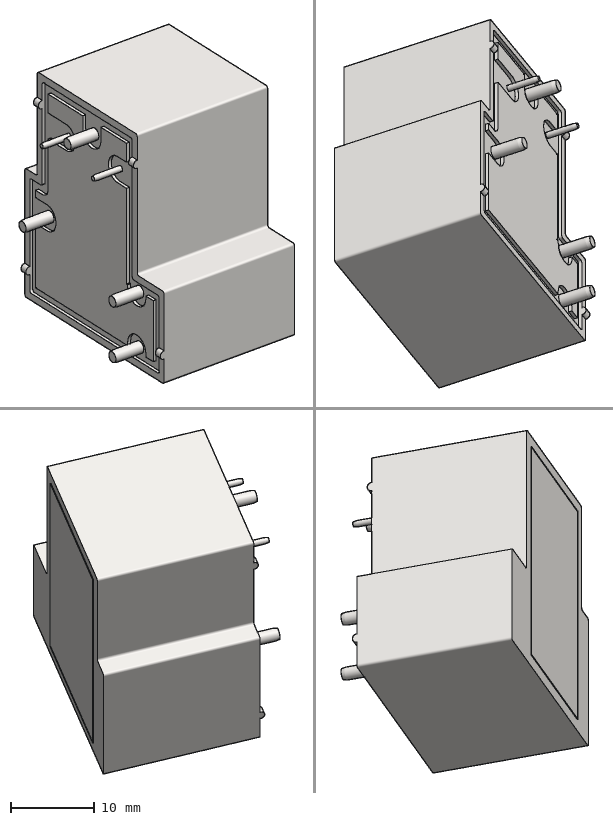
import cadquery as cq


total_width = 27.6
total_height = 32.0
cover_depth = 19.8
upper_left = 2.45
upper_width = 19.8
left_shoulder_height = 17.7
right_shoulder_height = 12.67
wall = 1.0
corner_radius = 0.32

label_margin = 1.57
label_thickness = 0.1

rib_radius = 0.58
upper_rib_height = 27.9
lower_rib_height = 4.0

base_recess = 0.45
pad_inset = 1.15
clearance_radius = 1.8

pin_grid_span = 25.4
pin_grid_steps = 10
top_pin_x = 13.28
top_pin_z = 28.0
power_pin_diameter = 1.6
coil_pin_diameter = 0.8
pin_reach = 3.7
tip_length = 0.5
tip_step = 0.1
pin_seat_depth = wall

upper_right = upper_left + upper_width
base_back = cover_depth - wall
pin_grid = pin_grid_span / pin_grid_steps
open_length = total_height

PINS = [
    ((0, 0), power_pin_diameter, "up"),
    ((-2, -1), coil_pin_diameter, "left"),
    ((2, -1), coil_pin_diameter, "right"),
    ((-3.5, -6), power_pin_diameter, "left"),
    ((3.5, -7), power_pin_diameter, "up"),
    ((3.5, -10), power_pin_diameter, "down"),
]
OPEN_DIRECTIONS = {"up": (0, 1), "down": (0, -1), "left": (-1, 0), "right": (1, 0)}


def pin_position(grid_place):
    column, row = grid_place
    return top_pin_x + column * pin_grid, top_pin_z + row * pin_grid


def front_plane(y):
    """Sketch plane at depth y, with sketch axes X and Z; negative extrusions go to +Y."""
    return cq.Workplane("XZ", origin=(0, y, 0))


def stepped_block(inset, front, back):
    """Prism with the stepped outline of the cover, moved inward by inset."""
    left, right = inset, total_width - inset
    inner_left, inner_right = upper_left + inset, upper_right - inset
    left_shoulder, right_shoulder = left_shoulder_height - inset, right_shoulder_height - inset
    bottom, top = inset, total_height - inset
    outline = [
        (left, bottom),
        (right, bottom),
        (right, right_shoulder),
        (inner_right, right_shoulder),
        (inner_right, top),
        (inner_left, top),
        (inner_left, left_shoulder),
        (left, left_shoulder),
    ]
    return front_plane(front).polyline(outline).close().extrude(front - back)


def rounded_block(inset, front, back):
    return stepped_block(inset, front, back).edges("|Y").fillet(corner_radius)


def label_panel():
    width = upper_width - 2 * label_margin
    height = total_height - 2 * label_margin
    return (
        front_plane(cover_depth)
        .center((upper_left + upper_right) / 2, total_height / 2)
        .rect(width, height)
        .extrude(-label_thickness)
    )


def spacer_rib(wall_left, z):
    """Cylinder along X, as long as the wall is thick; half of it stands out of the rim."""
    return cq.Workplane("YZ", origin=(wall_left, 0, z)).circle(rib_radius).extrude(wall)


def make_cover():
    cover = rounded_block(0, 0, cover_depth)
    for wall_left in (upper_left, upper_right - wall):
        cover = cover.union(spacer_rib(wall_left, upper_rib_height))
    for wall_left in (0, total_width - wall):
        cover = cover.union(spacer_rib(wall_left, lower_rib_height))
    cover = cover.cut(rounded_block(wall, 0, base_back))
    return cover.union(label_panel())


def pin_clearance(grid_place, open_side):
    """Round-ended slot around a pin, running out of the pad on its open side."""
    x, z = pin_position(grid_place)
    along_x, along_z = OPEN_DIRECTIONS[open_side]
    slot_width = 2 * clearance_radius
    round_end = front_plane(0).center(x, z).circle(clearance_radius).extrude(-base_recess)
    straight = (
        front_plane(0)
        .center(x + along_x * open_length / 2, z + along_z * open_length / 2)
        .rect(
            open_length if along_x else slot_width,
            open_length if along_z else slot_width,
        )
        .extrude(-base_recess)
    )
    return round_end.union(straight)


def make_pad():
    """Raised pad on the base, flush with the rim and cut away around the pins."""
    inset = wall + pad_inset
    pad = stepped_block(inset, 0, base_recess)
    shoulder_corner = (upper_left + inset, base_recess, left_shoulder_height - inset)
    pad = pad.edges("|Y").edges(cq.NearestToPointSelector(shoulder_corner)).fillet(pad_inset)
    for grid_place, _, open_side in PINS:
        pad = pad.cut(pin_clearance(grid_place, open_side))
    return pad


def make_base(pins):
    base = rounded_block(wall, base_recess, base_back).union(make_pad())
    for pin in pins:
        base = base.cut(pin)
    return base


def make_pin(grid_place, diameter):
    """Round pin with a slightly tapered tip, seated in a blind hole of the base."""
    x, z = pin_position(grid_place)
    seat = base_recess + pin_seat_depth
    return (
        front_plane(seat)
        .center(x, z)
        .circle(diameter / 2)
        .extrude(seat + pin_reach)
        .faces("<Y")
        .chamfer(tip_length, tip_step)
    )


cover = make_cover()
pins = [make_pin(grid_place, diameter) for grid_place, diameter, _ in PINS]
base = make_base(pins)

result = cq.Compound.makeCompound([cover.val(), base.val(), *[pin.val() for pin in pins]])